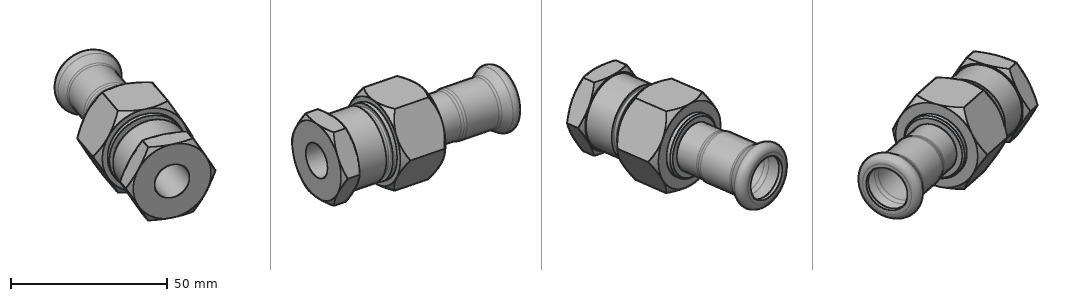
import cadquery as cq
import math

LENGTH = 73.0

BEAD_DIAMETER = 23.0
TUBE_DIAMETER = 17.9
WALL = 1.4
REDUCED_DIAMETER = 17.0
TAPER_ANGLE = math.radians(32)
BLEND_RADIUS = 1.75
STEP_START = 20.45
STEP_END = 22.5

SHOULDER_START = 30.9
SHOULDER_DIAMETER = 22.2
SHOULDER_CHAMFER = 0.6

NUT_START = 33.0
NUT_END = 50.8
NUT_ACROSS_FLATS = 30.0
NUT_CHAMFER_ANGLE = math.radians(45)

COLLAR_DIAMETER = 26.4
COLLAR_END = 52.4
GROOVE_DIAMETER = 23.0
GROOVE_FILLET = 0.6
SLEEVE_START = 54.9
SLEEVE_DIAMETER = 26.0
HEX_START = 65.85
HEX_ACROSS_FLATS = 26.95
HEX_CHAMFER_ANGLE = math.radians(30)

BORE_DIAMETER = 12.05
SOCKET_DEPTH = 20.45

X_AXIS = ((0, 0, 0), (1, 0, 0))


def cylinder(diameter, start, end):
    """Round bar along X."""
    return cq.Workplane("YZ", origin=(start, 0, 0)).circle(diameter / 2).extrude(end - start)


def chamfered_hexagon(across_flats, start, end, angle):
    """Hexagonal prism along X, corners on +Y and -Y, both ends turned to a cone."""
    flat_radius = across_flats / 2
    corner_radius = flat_radius / math.cos(math.pi / 6)
    cone_length = (corner_radius - flat_radius) * math.tan(angle)
    prism = (
        cq.Workplane("YZ", origin=(start, 0, 0))
        .polygon(6, 2 * corner_radius)
        .extrude(end - start)
    )
    envelope = (
        cq.Workplane("XY")
        .moveTo(start, 0)
        .lineTo(start, flat_radius)
        .lineTo(start + cone_length, corner_radius)
        .lineTo(end - cone_length, corner_radius)
        .lineTo(end, flat_radius)
        .lineTo(end, 0)
        .close()
        .revolve(360, *X_AXIS)
    )
    return prism.intersect(envelope)


def bead_points(inset):
    """Crown, taper start, blend start and blend end of the bead profile, set in by a wall."""
    sine = math.sin(TAPER_ANGLE)
    cosine = math.cos(TAPER_ANGLE)
    tube = TUBE_DIAMETER / 2
    bead = BEAD_DIAMETER / 2 - tube
    inset_bead = bead - inset
    inset_blend = BLEND_RADIUS + inset

    blend_length = BLEND_RADIUS * math.tan(TAPER_ANGLE / 2)
    blend_x = bead + bead / sine + blend_length
    blend_center_radius = tube + BLEND_RADIUS

    crown = (bead, tube + inset_bead)
    taper_start = (bead + inset_bead * sine, tube + inset_bead * cosine)
    blend_start = (blend_x - inset_blend * sine, blend_center_radius - inset_blend * cosine)
    blend_end = (blend_x, tube - inset)
    return crown, taper_start, blend_start, blend_end


def make_turned_body():
    """Solid of revolution from the bead to the end of the sleeve."""
    tube = TUBE_DIAMETER / 2
    reduced = REDUCED_DIAMETER / 2
    shoulder = SHOULDER_DIAMETER / 2
    collar = COLLAR_DIAMETER / 2
    groove = GROOVE_DIAMETER / 2
    sleeve = SLEEVE_DIAMETER / 2

    bead_crown, taper_start, blend_start, blend_end = bead_points(0)

    step_middle = ((STEP_START + STEP_END) / 2, (tube + reduced) / 2)

    return (
        cq.Workplane("XY")
        .lineTo(0, tube)
        .threePointArc(bead_crown, taper_start)
        .lineTo(*blend_start)
        .tangentArcPoint(blend_end, relative=False)
        .lineTo(STEP_START, tube)
        .tangentArcPoint(step_middle, relative=False)
        .tangentArcPoint((STEP_END, reduced), relative=False)
        .lineTo(SHOULDER_START, reduced)
        .lineTo(SHOULDER_START, shoulder - SHOULDER_CHAMFER)
        .lineTo(SHOULDER_START + SHOULDER_CHAMFER, shoulder)
        .lineTo(NUT_END, shoulder)
        .lineTo(NUT_END, collar)
        .lineTo(COLLAR_END, collar)
        .lineTo(COLLAR_END, groove + GROOVE_FILLET)
        .tangentArcPoint((COLLAR_END + GROOVE_FILLET, groove), relative=False)
        .lineTo(SLEEVE_START - GROOVE_FILLET, groove)
        .tangentArcPoint((SLEEVE_START, groove + GROOVE_FILLET), relative=False)
        .lineTo(SLEEVE_START, sleeve)
        .lineTo(HEX_START, sleeve)
        .lineTo(HEX_START, 0)
        .close()
        .revolve(360, *X_AXIS)
    )


def make_socket():
    """Cavity of the press end: mouth, seal groove inside the bead, and socket."""
    tube = TUBE_DIAMETER / 2
    socket = tube - WALL
    crown, taper_start, blend_start, blend_end = bead_points(WALL)
    return (
        cq.Workplane("XY")
        .lineTo(0, socket)
        .lineTo(WALL, socket)
        .lineTo(WALL, tube)
        .threePointArc(crown, taper_start)
        .lineTo(*blend_start)
        .tangentArcPoint(blend_end, relative=False)
        .lineTo(SOCKET_DEPTH, socket)
        .lineTo(SOCKET_DEPTH, 0)
        .close()
        .revolve(360, *X_AXIS)
    )


def make_fitting():
    """Through fitting: press tail, sleeve and end hexagon, bored from end to end."""
    end_hexagon = chamfered_hexagon(HEX_ACROSS_FLATS, HEX_START, LENGTH, HEX_CHAMFER_ANGLE)
    return (
        make_turned_body()
        .union(end_hexagon)
        .cut(cylinder(BORE_DIAMETER, 0, LENGTH))
        .cut(make_socket())
    )


def make_union_nut():
    """Hexagonal nut seated on the shoulder, against the collar."""
    nut = chamfered_hexagon(NUT_ACROSS_FLATS, NUT_START, NUT_END, NUT_CHAMFER_ANGLE)
    return nut.cut(cylinder(SHOULDER_DIAMETER, NUT_START, NUT_END))


fitting = make_fitting()
union_nut = make_union_nut()
result = cq.Compound.makeCompound([fitting.val(), union_nut.val()])